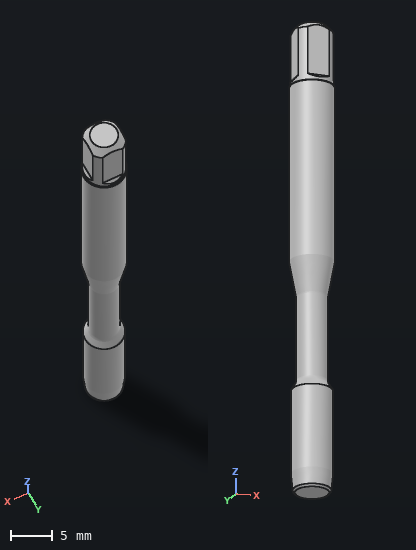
import cadquery as cq
import math

total_length = 60.1
tip_chamfer = 0.3
lead_length = 2.4
thread_top = 13.1
neck_end = 25.2
shank_start = 29.75
shank_end = 52.35

tip_face_diameter = 4.2
lead_diameter = 4.7
thread_diameter = 5.1
neck_diameter = 3.85
shank_diameter = 5.5
drive_diameter = 5.3
drive_face_diameter = 3.4

back_cone_angle = 30.0
back_cone_length = (thread_diameter - neck_diameter) / 2 / math.tan(math.radians(back_cone_angle))
neck_start = thread_top + back_cone_length
neck_fillet = 0.9
edge_tolerance = 0.05

square_width = 4.5
square_start = 53.1
end_chamfer = (drive_diameter - drive_face_diameter) / 2
shank_chamfer = (shank_diameter - drive_diameter) / 2
ramp_height = (drive_diameter - square_width) / 2


def turned(stations):
    """Solid of revolution about Z through (diameter, height) stations."""
    bottom = stations[0][1]
    top = stations[-1][1]
    outline = [(0, bottom)]
    outline += [(diameter / 2, height) for diameter, height in stations]
    outline.append((0, top))
    return cq.Workplane("XZ").polyline(outline).close().revolve(360, (0, 0), (0, 1))


def make_cutting_head():
    """Thread envelope with a tapered lead and a chamfered tip."""
    return turned([
        (tip_face_diameter, 0),
        (lead_diameter, tip_chamfer),
        (thread_diameter, lead_length),
        (thread_diameter, thread_top),
    ])


def make_square_envelope():
    """Square prism whose lower end flares at 45 degrees into the round shank."""
    flare_width = square_width + 2 * ramp_height
    flare = (
        cq.Workplane("XY", origin=(0, 0, square_start - ramp_height))
        .rect(flare_width, flare_width)
        .workplane(offset=ramp_height)
        .rect(square_width, square_width)
        .loft(ruled=True)
    )
    prism = (
        cq.Workplane("XY", origin=(0, 0, square_start))
        .rect(square_width, square_width)
        .extrude(total_length - square_start)
    )
    return flare.union(prism)


def make_shank():
    """Back cone, filleted neck, tapered shoulder and shank, with the square drive at the top."""
    ramp_base = square_start - ramp_height
    shaft = turned([
        (thread_diameter, thread_top),
        (neck_diameter, neck_start),
        (neck_diameter, neck_end),
        (shank_diameter, shank_start),
        (shank_diameter, shank_end - shank_chamfer),
        (drive_diameter, shank_end),
        (drive_diameter, ramp_base),
    ])
    for height in (neck_start, neck_end):
        neck_edge = cq.selectors.BoxSelector(
            (-shank_diameter, -shank_diameter, height - edge_tolerance),
            (shank_diameter, shank_diameter, height + edge_tolerance),
            boundingbox=True,
        )
        shaft = shaft.edges(neck_edge).fillet(neck_fillet)
    drive = turned([
        (drive_diameter, ramp_base),
        (drive_diameter, total_length - end_chamfer),
        (drive_face_diameter, total_length),
    ])
    return shaft.union(drive.intersect(make_square_envelope()))


cutting_head = make_cutting_head()
shank = make_shank()

result = cq.Compound.makeCompound([cutting_head.val(), shank.val()])